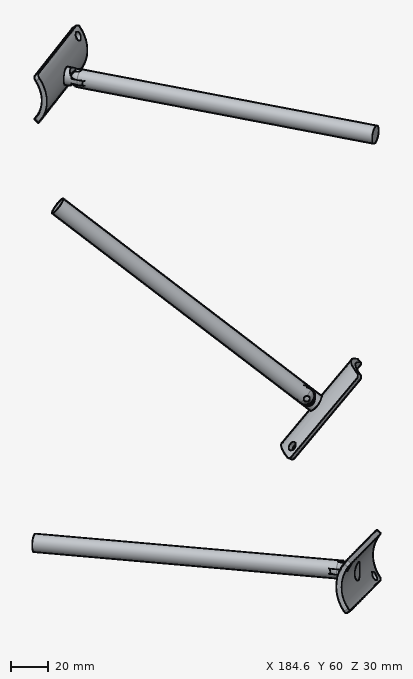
import cadquery as cq
import math

plate_inner_radius = 20.0
plate_thickness = 3.0
plate_outer_radius = plate_inner_radius + plate_thickness
plate_length = 60.0
plate_height = 30.0
plate_half_angle = math.degrees(math.asin(plate_height / 2 / plate_outer_radius))
plate_corner_radius = 2.0
plate_tip_x = plate_inner_radius * math.cos(math.radians(plate_half_angle))

screw_hole_diameter = 5.0
screw_hole_offset_y = 24.0
screw_hole_angle = 29.0

overall_length = 184.56
rod_radius = 5.0
ball_distance = 15.2
ball_x = plate_tip_x + ball_distance
rod_end_x = plate_tip_x + overall_length
through_height = 4 * rod_radius

tang_thickness = 3.0
stub_clearance_radius = 5.4
slot_clearance_radius = 6.0
pin_diameter = 3.3
pin_offset_x = 1.1
pin_x = ball_x - pin_offset_x


def x_cylinder(radius, start_x, end_x):
    """Solid cylinder on the X axis between two X positions."""
    return cq.Workplane("YZ").workplane(offset=start_x).circle(radius).extrude(end_x - start_x)


def z_cylinder(radius, centre_x, height):
    """Solid cylinder parallel to Z, centred on the XY plane."""
    return cq.Workplane("XY").center(centre_x, 0).circle(radius).extrude(height / 2, both=True)


def ball():
    """Round end shared by the rod and the tang."""
    return cq.Workplane("XY").sphere(rod_radius).translate((ball_x, 0, 0))


def hinge_slab():
    """Layer about the XY plane that is as thick as the tang and covers the whole hinge."""
    reach = 2 * plate_outer_radius
    return cq.Workplane("XY").box(reach, reach, tang_thickness).translate((ball_x, 0, 0))


def swing_space(radius):
    """Space about the ball that the opposite half of the hinge swings in."""
    return z_cylinder(radius, ball_x, through_height)


def pin_hole():
    """Hole along Z through both halves of the hinge."""
    return z_cylinder(pin_diameter / 2, pin_x, through_height)


def inside_tube():
    """Solid core that fills the saddle's inner radius."""
    return cq.Workplane("XZ").circle(plate_inner_radius).extrude(plate_length / 2, both=True)


def make_stub():
    """Neck that is set through the plate and carries the hinge tang."""
    neck = x_cylinder(rod_radius, 0, ball_x).cut(inside_tube())
    shoulder = neck.cut(swing_space(stub_clearance_radius))
    tang = neck.union(ball()).intersect(hinge_slab())
    return shoulder.union(tang).cut(pin_hole())


def make_rod():
    """Long rod with a ball-shaped, slotted end."""
    slot = hinge_slab().intersect(swing_space(slot_clearance_radius))
    shaft = x_cylinder(rod_radius, ball_x, rod_end_x)
    return shaft.union(ball()).cut(slot).cut(pin_hole())


def make_pin():
    """Pin that fills the hole, its ends rounded to follow the rod's outside."""
    return pin_hole().intersect(x_cylinder(rod_radius, 0, rod_end_x))


def arc_point(radius, angle):
    """Point (X, Z) on an arc about the tube axis, measured from +X towards +Z."""
    turn = math.radians(angle)
    return (radius * math.cos(turn), radius * math.sin(turn))


def make_plate():
    """Curved saddle with rounded corners, two screw holes and an opening for the stub."""
    plate = (
        cq.Workplane("XZ")
        .moveTo(*arc_point(plate_inner_radius, -plate_half_angle))
        .threePointArc((plate_inner_radius, 0), arc_point(plate_inner_radius, plate_half_angle))
        .lineTo(*arc_point(plate_outer_radius, plate_half_angle))
        .threePointArc((plate_outer_radius, 0), arc_point(plate_outer_radius, -plate_half_angle))
        .close()
        .extrude(plate_length / 2, both=True)
    )
    plate = plate.edges("%LINE").edges("not(|Y)").fillet(plate_corner_radius)
    for side in (1, -1):
        hole = x_cylinder(screw_hole_diameter / 2, 0, 2 * plate_outer_radius)
        hole = hole.rotate((0, 0, 0), (0, 1, 0), -side * screw_hole_angle)
        plate = plate.cut(hole.translate((0, side * screw_hole_offset_y, 0)))
    return plate.cut(x_cylinder(rod_radius, 0, plate_outer_radius))


plate = make_plate()
stub = make_stub()
rod = make_rod()
pin = make_pin()

result = cq.Compound.makeCompound([plate.val(), stub.val(), rod.val(), pin.val()])